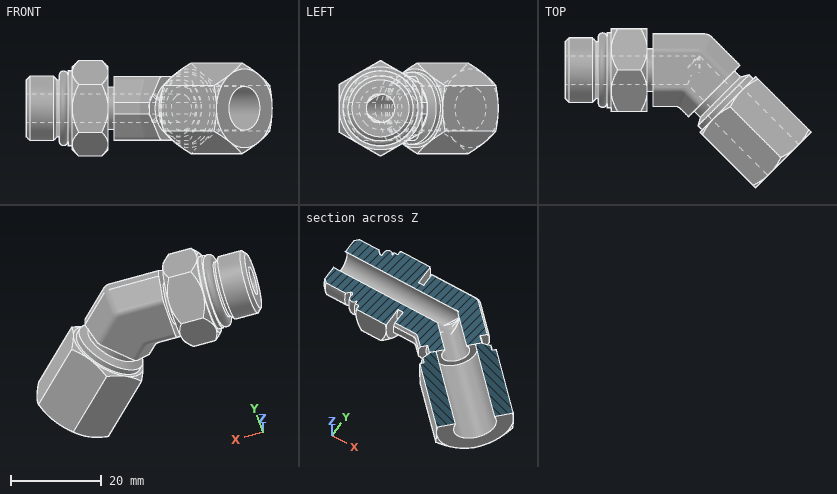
import cadquery as cq
import math

BEND_ANGLE = 45.0
BRANCH_DIR = (math.cos(math.radians(BEND_ANGLE)), -math.sin(math.radians(BEND_ANGLE)), 0)
BORE_RADIUS = 3.15
BORE_OVERRUN = 1.25
DRILL_POINT_ANGLE = 118.0
TOLERANCE = 0.005

STUD_REACH = 28.2
STUD_RADIUS = 7.15
STUD_LENGTH = 6.8
STUD_TIP_CHAMFER = 0.85
GROOVE_RADIUS = 6.3
RING_START = 7.25
RING_SECTION_RADIUS = 1.0
WASHER_RADIUS = 8.3
WASHER_LENGTH = 0.9
LOCKNUT_LENGTH = 7.9
LOCKNUT_CORNER_DIAMETER = 21.05
LOCKNUT_CHAMFER_ANGLE = 45.0
SHANK_RADIUS = 4.7
SHANK_LENGTH = 1.25

ELBOW_HALF_WIDTH = 8.0
ELBOW_HALF_HEIGHT = 7.05
SIDE_FLAT_HALF_HEIGHT = 1.25
BEVEL_ANGLE = 60.0
ELBOW_BRANCH_LENGTH = 6.5
EDGE_FILLET = 1.45
OUTER_BEND_FILLET = 2.55
NECK_RADIUS = 6.3
NECK_LENGTH = 1.9

COLLAR_LENGTH = 2.3
COLLAR_RADIUS = 7.95
COLLAR_CHAMFER_LENGTH = 1.0
NUT_LENGTH = 17.35
NUT_CORNER_DIAMETER = 20.05
NUT_CHAMFER_ANGLE = 30.0
NUT_BORE_RADIUS = 4.8

RING_LENGTH = 2 * RING_SECTION_RADIUS
WASHER_START = RING_START + RING_LENGTH
LOCKNUT_START = WASHER_START + WASHER_LENGTH
LOCKNUT_END = LOCKNUT_START + LOCKNUT_LENGTH
SHANK_END = LOCKNUT_END + SHANK_LENGTH
ELBOW_STUD_LENGTH = STUD_REACH - SHANK_END
NUT_START = ELBOW_BRANCH_LENGTH + NECK_LENGTH


def stud_plane(station):
    """Plane across the stud axis, `station` from the free end; local x is up, normal is +X."""
    return cq.Plane(origin=(station - STUD_REACH, 0, 0), xDir=(0, 0, 1), normal=(1, 0, 0))


def branch_plane(station):
    """Plane across the branch axis, `station` from the bend point; local x is up."""
    origin = tuple(station * component for component in BRANCH_DIR)
    return cq.Plane(origin=origin, xDir=(0, 0, 1), normal=BRANCH_DIR)


def cylinder(plane, radius, length):
    return cq.Workplane(plane).circle(radius).extrude(length)


def revolved(plane, profile):
    """Solid of revolution about the plane's normal from (radius, height) points."""
    meridian = cq.Plane(origin=plane.origin, xDir=plane.xDir, normal=-plane.yDir)
    return cq.Workplane(meridian).polyline(profile).close().revolve(360, (0, 0), (0, 1))


def hexagon(plane, corner_diameter, length, chamfer_angle):
    """Hexagon bar with corners up and down; both end faces are chamfered to the inscribed circle."""
    corner_radius = corner_diameter / 2
    face_radius = corner_radius * math.cos(math.pi / 6)
    chamfer_length = (corner_radius - face_radius) * math.tan(math.radians(chamfer_angle))
    envelope = revolved(plane, [
        (0, 0),
        (face_radius, 0),
        (corner_radius, chamfer_length),
        (corner_radius, length - chamfer_length),
        (face_radius, length),
        (0, length),
    ])
    return cq.Workplane(plane).polygon(6, corner_diameter).extrude(length).intersect(envelope)


def stud():
    """Threaded end with a chamfered tip, and the groove core that carries the O-ring."""
    run_out = STUD_RADIUS - GROOVE_RADIUS
    return revolved(stud_plane(0), [
        (0, 0),
        (STUD_RADIUS - STUD_TIP_CHAMFER, 0),
        (STUD_RADIUS, STUD_TIP_CHAMFER),
        (STUD_RADIUS, STUD_LENGTH - run_out),
        (GROOVE_RADIUS, STUD_LENGTH),
        (GROOVE_RADIUS, WASHER_START),
        (0, WASHER_START),
    ])


def ring():
    """O-ring bead, with its core filled so that it joins the groove."""
    torus = cq.Solid.makeTorus(
        GROOVE_RADIUS + RING_SECTION_RADIUS,
        RING_SECTION_RADIUS,
        stud_plane(RING_START + RING_SECTION_RADIUS).origin,
        cq.Vector(1, 0, 0),
    )
    core = cylinder(stud_plane(RING_START), GROOVE_RADIUS + RING_SECTION_RADIUS, RING_LENGTH)
    return core.union(cq.Workplane(torus))


def elbow_body():
    """Bevelled bar swept round the mitred bend, with its bend, top and bottom edges rounded."""
    bevel_run = (ELBOW_HALF_HEIGHT - SIDE_FLAT_HALF_HEIGHT) / math.tan(math.radians(BEVEL_ANGLE))
    flat_half_width = ELBOW_HALF_WIDTH - bevel_run
    quarter = [(ELBOW_HALF_HEIGHT, flat_half_width), (SIDE_FLAT_HALF_HEIGHT, ELBOW_HALF_WIDTH)]
    half = quarter + [(-z, y) for z, y in reversed(quarter)]
    section = half + [(z, -y) for z, y in reversed(half)]
    branch_end = branch_plane(ELBOW_BRANCH_LENGTH).origin
    path = cq.Workplane("XY").polyline([(-ELBOW_STUD_LENGTH, 0), (0, 0), (branch_end.x, branch_end.y)])
    bar = cq.Workplane(stud_plane(SHANK_END)).polyline(section).close().sweep(path, transition="right")
    bar = bar.clean()

    mitre = math.radians(BEND_ANGLE / 2)

    def bend_edges(side):
        found = []
        for edge in bar.edges().vals():
            middle = edge.Center()
            off_mitre = middle.x * math.cos(mitre) - middle.y * math.sin(mitre)
            if abs(off_mitre) < TOLERANCE and side * middle.y > 0:
                found.append(edge)
        return found

    inner_edges = bend_edges(-1)
    bar = bar.newObject(bend_edges(1)).fillet(OUTER_BEND_FILLET)
    bar = bar.newObject(inner_edges).fillet(EDGE_FILLET)

    end_planes = [stud_plane(SHANK_END), branch_plane(ELBOW_BRANCH_LENGTH)]

    def on_an_end(edge):
        return any(abs(plane.toLocalCoords(edge.Center()).z) < TOLERANCE for plane in end_planes)

    rims = bar.faces("<Z or >Z").edges().vals()
    return bar.newObject([edge for edge in rims if not on_an_end(edge)]).fillet(EDGE_FILLET)


def drilled_bore(entry, depth):
    """Bore from the entry plane, closing in a drill point."""
    point_length = BORE_RADIUS / math.tan(math.radians(DRILL_POINT_ANGLE / 2))
    return revolved(entry, [
        (0, 0),
        (BORE_RADIUS, 0),
        (BORE_RADIUS, depth),
        (0, depth + point_length),
    ])


def make_fitting():
    """Stud, O-ring, washer, locknut and elbow with its neck, bored through both arms."""
    washer = cylinder(stud_plane(WASHER_START), WASHER_RADIUS, WASHER_LENGTH)
    locknut = hexagon(
        stud_plane(LOCKNUT_START), LOCKNUT_CORNER_DIAMETER, LOCKNUT_LENGTH, LOCKNUT_CHAMFER_ANGLE
    )
    shank = cylinder(stud_plane(LOCKNUT_END), SHANK_RADIUS, SHANK_LENGTH)
    neck = cylinder(branch_plane(ELBOW_BRANCH_LENGTH), NECK_RADIUS, NECK_LENGTH)
    stud_bore = drilled_bore(stud_plane(0), STUD_REACH + BORE_OVERRUN)
    branch_entry = cq.Plane(
        origin=branch_plane(NUT_START).origin, xDir=(0, 0, 1), normal=-branch_plane(0).zDir
    )
    branch_bore = drilled_bore(branch_entry, NUT_START + BORE_OVERRUN)
    solid = stud().union(ring()).union(washer).union(locknut).union(shank)
    solid = solid.union(elbow_body()).union(neck)
    return solid.cut(stud_bore).cut(branch_bore).solids()


def make_swivel_nut():
    """Hexagon nut with a collar that tapers down to the neck and a plain through bore."""
    collar = revolved(branch_plane(NUT_START), [
        (0, 0),
        (NECK_RADIUS, 0),
        (COLLAR_RADIUS, COLLAR_CHAMFER_LENGTH),
        (COLLAR_RADIUS, COLLAR_LENGTH),
        (0, COLLAR_LENGTH),
    ])
    hexagon_start = NUT_START + COLLAR_LENGTH
    bar = hexagon(branch_plane(hexagon_start), NUT_CORNER_DIAMETER, NUT_LENGTH, NUT_CHAMFER_ANGLE)
    bore = cylinder(branch_plane(NUT_START), NUT_BORE_RADIUS, COLLAR_LENGTH + NUT_LENGTH)
    return collar.union(bar).cut(bore).solids()


fitting = make_fitting()
swivel_nut = make_swivel_nut()
result = cq.Compound.makeCompound([fitting.val(), swivel_nut.val()])